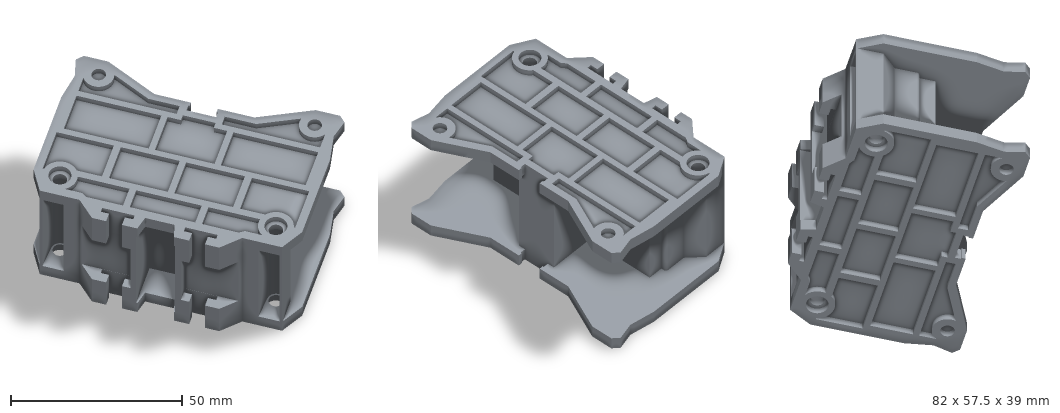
import cadquery as cq
import math

length = 82.0
depth = 57.5
height = 39.0
plate_thickness = 4.1
recess_depth = 2.05

half_length = length / 2
half_height = height / 2
inner_half_height = half_height - plate_thickness

foot_lip = 2.95
foot_root = 4.4
front_face = 5.4
screw_y = 12.55
back_edge = 49.7
notch_floor = 46.6

front_corner_x = 37.0
foot_slope_x = 24.85
foot_tip_x = 19.4
slot_outer_x = 17.6
slot_inner_x = 7.7
slot_mouth_outer_x = 15.1
slot_mouth_inner_x = 10.25
groove_tip_x = 5.6
groove_root_x = 4.5
relief_half_height = 9.1
relief_step = 0.04
relief_depth = foot_root + relief_step

back_slope_x = 15.25
ear_inner_x = 31.65
ear_outer_x = 39.1
ear_corner_y = 55.5
side_waist = (39.5, 49.5)
side_start_y = 40.8

notch_half_width = 4.5
notch_lip_half_width = 4.1
notch_lip_y = 48.4

station_x = 33.0
blind_y = 52.0
hole_radius = 2.1
counterbore_radius = 3.4
screw_boss_radius = 5.25
blind_boss_radius = 4.6

body_half_width = 37.15
body_shoulder_y = 13.6
waist_half_width = 32.5
waist_corner_radius = 1.0
upper_half_width = 30.6
upper_start_y = 26.0
upper_end_y = 31.1
neck_half_width = 6.9
screw_pocket_half_mouth = 3.2
screw_pocket_end_radius = 2.6
channel_half_width = 5.9
channel_end_y = body_shoulder_y

back_row = (29.7, 42.55)
middle_row = (15.75, 27.8)
front_row = (7.05, 13.6)
back_rib_y = 44.45
back_centre_half_width = 9.1
back_tab_half_width = 5.0
back_panel_x = (11.0, 36.9)
middle_outer_x = (21.1, 38.5)
middle_inner_x = (1.0, 18.95)
front_centre_half_width = 10.0
front_panel_inner_x = 12.05
front_panel_step = (23.3, 8.1)
wing_inner_x = 6.9
wing_top_y = 47.5
wing_bend_x = 16.5
wing_tip = (29.0, 53.5)


def mirrored_prism(half_outline, z_low, z_high):
    """Extrude an outline given by its left half, ordered from the back centre to the front centre."""
    right_half = [(-x, y) for x, y in reversed(half_outline)]
    profile = cq.Workplane("XY").workplane(offset=z_low).polyline(half_outline + right_half).close()
    return profile.extrude(z_high - z_low)


def box(x_range, y_range, z_range):
    size = [high - low for low, high in (x_range, y_range, z_range)]
    return cq.Workplane("XY").box(*size, centered=False).translate((x_range[0], y_range[0], z_range[0]))


def centred_box(half_width, y_range, z_range):
    return box((-half_width, half_width), y_range, z_range)


def cylinder(x, y, radius, z_low, z_high):
    return cq.Workplane("XY").workplane(offset=z_low).center(x, y).circle(radius).extrude(z_high - z_low)


def tapered_slot(mouth_y, end_y, half_mouth, end_radius, half_depth):
    """Slot at the screw station that narrows from its mouth to sides tangent to its round end."""
    run = end_y - mouth_y
    span = math.hypot(run, half_mouth)
    angle = math.acos(end_radius / span) - math.atan2(run, half_mouth)
    tangent_x = end_radius * math.cos(angle)
    tangent_y = end_y + end_radius * math.sin(angle)
    return (
        cq.Workplane("XY")
        .workplane(offset=-half_depth)
        .center(-station_x, 0)
        .moveTo(-half_mouth, mouth_y)
        .lineTo(-tangent_x, tangent_y)
        .threePointArc((0, end_y + end_radius), (tangent_x, tangent_y))
        .lineTo(half_mouth, mouth_y)
        .close()
        .extrude(2 * half_depth)
    )


def both_sides(shape):
    return shape.union(shape.mirror("YZ"))


feet_outline = [
    (-front_corner_x, front_face),
    (-foot_slope_x, front_face),
    (-foot_tip_x, 0),
    (-slot_mouth_outer_x, 0),
    (-slot_mouth_outer_x, foot_lip),
    (-slot_outer_x, foot_lip),
    (-slot_outer_x, foot_root),
    (-slot_inner_x, foot_root),
    (-slot_inner_x, foot_lip),
    (-slot_mouth_inner_x, foot_lip),
    (-slot_mouth_inner_x, 0),
    (-groove_tip_x, 0),
    (-groove_root_x, foot_root),
]

plate_outline = [
    (-notch_half_width, notch_floor),
    (-notch_half_width, notch_lip_y),
    (-notch_lip_half_width, notch_lip_y),
    (-notch_lip_half_width, back_edge),
    (-back_slope_x, back_edge),
    (-ear_inner_x, depth),
    (-ear_outer_x, depth),
    (-half_length, ear_corner_y),
    (-side_waist[0], side_waist[1]),
    (-half_length, side_start_y),
    (-half_length, screw_y),
] + feet_outline

corner_slope = (screw_y - front_face) / (half_length - front_corner_x)
body_front_y = front_face + (body_half_width - front_corner_x) * corner_slope
shoulder_rise = body_half_width - waist_half_width

body_outline = [
    (-neck_half_width, notch_floor),
    (-neck_half_width, upper_end_y),
    (-upper_half_width, upper_end_y),
    (-upper_half_width, upper_start_y),
    (-waist_half_width, upper_start_y),
    (-waist_half_width, body_shoulder_y + shoulder_rise),
    (-body_half_width, body_shoulder_y),
    (-body_half_width, body_front_y),
] + feet_outline


def plate_recesses():
    """Recesses of the upper plate, leaving the ribs and the round bosses standing."""
    floor = half_height - recess_depth
    z_range = (floor, half_height)

    wing_outline = [
        (-back_panel_x[1], back_rib_y),
        (-wing_inner_x, back_rib_y),
        (-wing_inner_x, wing_top_y),
        (-wing_bend_x, wing_top_y),
        (-wing_tip[0], wing_tip[1]),
        (-back_panel_x[1], wing_tip[1]),
    ]
    wing = cq.Workplane("XY").workplane(offset=floor).polyline(wing_outline).close().extrude(recess_depth)
    wing = wing.cut(cylinder(-station_x, blind_y, blind_boss_radius, *z_range))
    wing = wing.cut(box((-half_length, -station_x), (blind_y, depth), z_range))

    front_outline = [
        (-station_x, front_row[1]),
        (-front_panel_inner_x, front_row[1]),
        (-front_panel_inner_x, front_row[0]),
        (-front_panel_step[0], front_row[0]),
        (-foot_slope_x, front_panel_step[1]),
        (-station_x, front_panel_step[1]),
    ]
    screw_boss = cylinder(-station_x, screw_y, screw_boss_radius, *z_range)
    front = cq.Workplane("XY").workplane(offset=floor).polyline(front_outline).close().extrude(recess_depth)
    front = front.cut(screw_boss)

    outer = box((-middle_outer_x[1], -middle_outer_x[0]), middle_row, z_range)
    outer = outer.union(box((-middle_outer_x[1], -station_x), (front_row[1], middle_row[0]), z_range))
    outer = outer.cut(screw_boss)

    sided = [
        wing,
        front,
        outer,
        box((-middle_inner_x[1], -middle_inner_x[0]), middle_row, z_range),
        box((-back_panel_x[1], -back_panel_x[0]), back_row, z_range),
        cylinder(-station_x, blind_y, hole_radius, *z_range),
        cylinder(-station_x, screw_y, counterbore_radius, *z_range),
    ]
    recesses = centred_box(front_centre_half_width, front_row, z_range)
    recesses = recesses.union(centred_box(back_centre_half_width, back_row, z_range))
    recesses = recesses.union(centred_box(back_tab_half_width, (back_row[1], back_rib_y), z_range))
    for shape in sided:
        recesses = recesses.union(both_sides(shape))
    return recesses


def body_pockets():
    """Front openings of the body: tapered screw pockets, the central channel and the foot reliefs."""
    inner_z = (-inner_half_height, inner_half_height)
    foot_slope = (foot_slope_x - foot_tip_x) / front_face
    relief_outer_x = foot_tip_x + relief_depth * foot_slope

    screw_pocket = tapered_slot(
        front_face, screw_y, screw_pocket_half_mouth, screw_pocket_end_radius, inner_half_height
    )
    relief = box(
        (-relief_outer_x, -slot_inner_x), (0, relief_depth), (-relief_half_height, relief_half_height)
    )
    channel = centred_box(channel_half_width, (0, channel_end_y), inner_z)
    return both_sides(screw_pocket).union(both_sides(relief)).union(channel)


upper_plate = mirrored_prism(plate_outline, inner_half_height, half_height).cut(plate_recesses())
body = mirrored_prism(body_outline, -inner_half_height, inner_half_height)
for corner_x in (-waist_half_width, waist_half_width):
    waist_corner = cq.selectors.NearestToPointSelector((corner_x, upper_start_y, 0))
    body = body.edges(waist_corner).fillet(waist_corner_radius)
screw_holes = both_sides(cylinder(-station_x, screw_y, hole_radius, -half_height, half_height))

result = upper_plate.union(upper_plate.mirror("XY")).union(body)
result = result.cut(body_pockets()).cut(screw_holes)